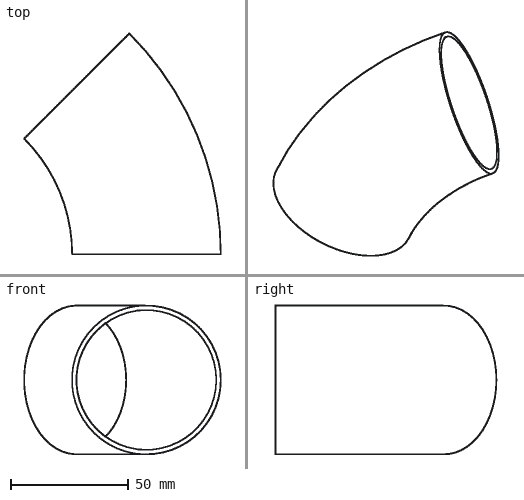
import cadquery as cq
import math

overall_length = 94.15
outer_diameter = 63.5
inner_diameter = 59.5
bend_angle = 45.0

outer_bend_radius = overall_length / math.sin(math.radians(bend_angle))
bend_radius = outer_bend_radius - outer_diameter / 2

result = (
    cq.Workplane("XZ")
    .circle(outer_diameter / 2)
    .circle(inner_diameter / 2)
    .revolve(bend_angle, (-bend_radius, 0), (-bend_radius, 1))
)